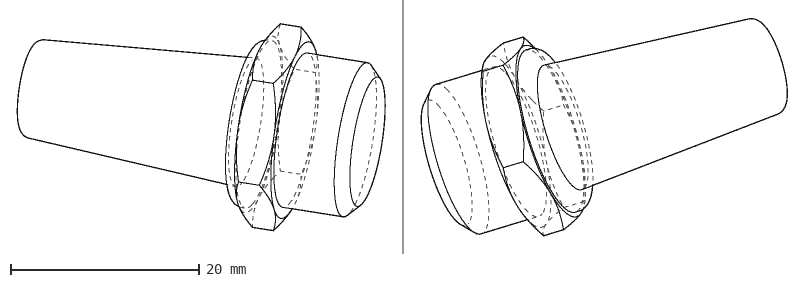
import cadquery as cq
import math

total_length = 37.4
collar_start = 24.0
hex_start = 25.4
hex_width = 4.0
hex_end = hex_start + hex_width

tip_radius = 5.25
nose_base_radius = 6.92
tip_rounding = 1.0

collar_radius = 9.0
collar_rounding = 1.0
hex_sides = 6
across_flats = 19.0
hex_chamfer_angle = 30.0
shank_radius = 8.3
shank_chamfer = 1.35


def cylinder(start, end, radius):
    """Cylinder along X between two stations."""
    return cq.Workplane("YZ").workplane(offset=start).circle(radius).extrude(end - start)


def tapered_nose():
    """Solid cone frustum with a rounded tip."""
    outline = [(0, 0), (0, tip_radius), (collar_start, nose_base_radius), (collar_start, 0)]
    nose = cq.Workplane("XY").polyline(outline).close().revolve(360, (0, 0, 0), (1, 0, 0))
    return nose.faces("<X").edges().fillet(tip_rounding)


def hexagon():
    """Hexagon with corners on +Y and -Y, its corners bevelled conically at both ends."""
    flat_radius = across_flats / 2
    corner_radius = flat_radius / math.cos(math.pi / hex_sides)
    bevel = (corner_radius - flat_radius) * math.tan(math.radians(hex_chamfer_angle))
    bevel_bounds = (
        cq.Workplane("XY")
        .moveTo(hex_start, 0)
        .lineTo(hex_start, flat_radius)
        .lineTo(hex_start + bevel, corner_radius)
        .lineTo(hex_end - bevel, corner_radius)
        .lineTo(hex_end, flat_radius)
        .lineTo(hex_end, 0)
        .close()
        .revolve(360, (0, 0, 0), (1, 0, 0))
    )
    prism = (
        cq.Workplane("YZ")
        .workplane(offset=hex_start)
        .polygon(hex_sides, 2 * corner_radius)
        .extrude(hex_width)
    )
    return prism.intersect(bevel_bounds)


collar = cylinder(collar_start, hex_start, collar_radius).faces("<X").edges().fillet(collar_rounding)
shank = cylinder(hex_end, total_length, shank_radius).faces(">X").edges().chamfer(shank_chamfer)

result = tapered_nose().union(collar).union(hexagon()).union(shank)